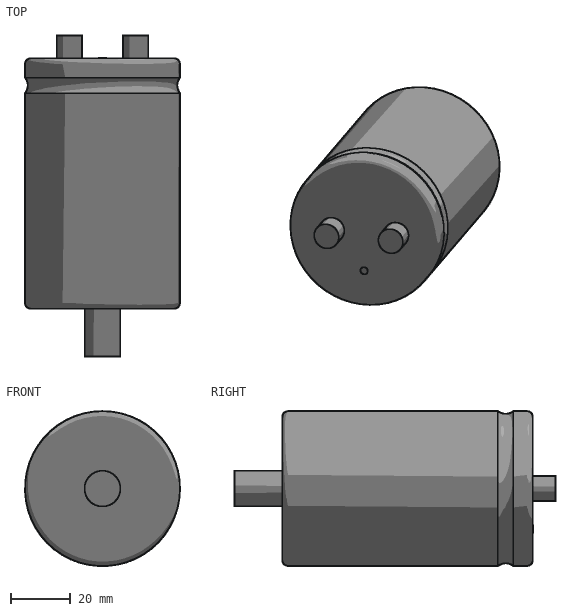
import cadquery as cq

can_diameter = 52.0
can_length = 84.0
edge_radius = 2.0

groove_width = 5.2
groove_depth = 0.9
groove_from_top = 9.1

stud_diameter = 12.0
stud_length = 16.0

terminal_diameter = 8.5
terminal_length = 7.6
terminal_spacing = 22.2

pip_diameter = 2.5
pip_height = 0.2
pip_z = -13.5

can_radius = can_diameter / 2
groove_y = can_length - groove_from_top


def cylinder_along_y(x, z, diameter, start_y, length):
    """Solid cylinder that starts at start_y and runs toward +Y."""
    axis = cq.Vector(0, 1, 0)
    start = cq.Vector(x, start_y, z)
    return cq.Workplane(cq.Solid.makeCylinder(diameter / 2, length, start, axis))


def make_can():
    """Round can with both end edges rounded."""
    can = cylinder_along_y(0, 0, can_diameter, 0, can_length)
    return can.edges("%CIRCLE").fillet(edge_radius)


def make_groove():
    """Ring with a circular-arc section that forms the crimp below the terminal end."""
    half_width = groove_width / 2
    arc_radius = (half_width**2 + groove_depth**2) / (2 * groove_depth)
    centre_x = can_radius - groove_depth + arc_radius
    return (
        cq.Workplane("XY")
        .center(centre_x, groove_y)
        .circle(arc_radius)
        .revolve(360, (-centre_x, 0), (-centre_x, 1))
    )


def make_stud():
    """Mounting stud on the can base."""
    return cylinder_along_y(0, 0, stud_diameter, -stud_length, stud_length)


def make_terminals():
    """Pair of terminal posts, spaced evenly about the can axis."""
    terminals = cq.Workplane("XY")
    for side in (-1, 1):
        x = side * terminal_spacing / 2
        terminals = terminals.add(
            cylinder_along_y(x, 0, terminal_diameter, can_length, terminal_length)
        )
    return terminals.combine()


def make_pip():
    """Low round pip on the terminal end, below the posts."""
    return cylinder_along_y(0, pip_z, pip_diameter, can_length, pip_height)


result = (
    make_can()
    .cut(make_groove())
    .union(make_stud())
    .union(make_terminals())
    .union(make_pip())
)